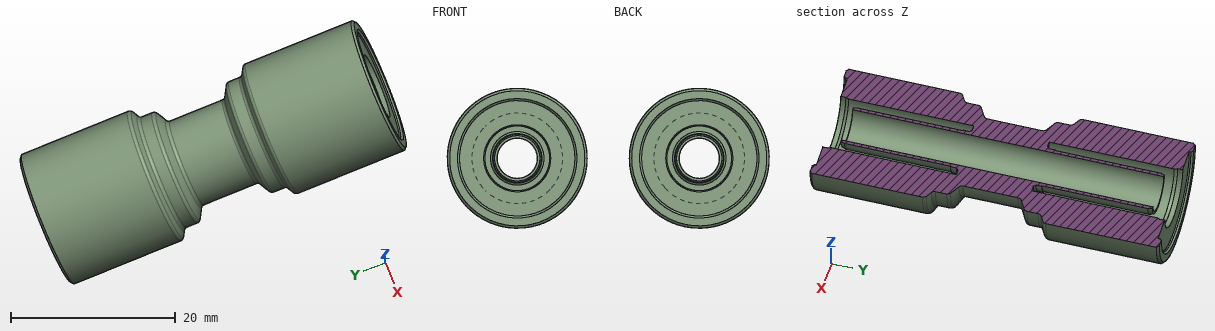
import cadquery as cq
import math


overall_length = 44.0
half_length = overall_length / 2
collar_edge_y = 4.77
sleeve_edge_y = 7.47

sleeve_radius = 17.0 / 2
collar_radius = 14.5 / 2
neck_radius = 11.0 / 2
cone_angle = math.radians(30)
step_fillet = 0.5
rim_chamfer = 0.3

recess_rim_radius = 14.5 / 2
recess_floor_radius = 14.0 / 2
recess_chamfer = recess_rim_radius - recess_floor_radius
recess_depth = 0.45

socket_radius = 8.15 / 2
throat_radius = 7.85 / 2
mouth_depth = 0.65
throat_cone_length = 0.4
stop_y = collar_edge_y

through_radius = 4.85 / 2
support_radius = 5.85 / 2
support_tip_radius = 5.5 / 2
support_tip_length = 0.5
support_tip_depth = 2.4
root_radius = 6.0 / 2
root_base_radius = 6.5 / 2
root_cone_length = 0.25
root_length = 1.0


def cone_run(large_radius, small_radius):
    """Axial length of a step cone between two radii."""
    return (large_radius - small_radius) * math.tan(cone_angle)


def circles_at(radius, y_position):
    """Selector for the circular edges of one radius at one place along the axis."""
    margin = 0.01
    reach = radius + margin
    return cq.selectors.BoxSelector(
        (-reach, y_position - margin, -reach),
        (reach, y_position + margin, reach),
        boundingbox=True,
    )


def revolve_profile(points):
    """Turn a closed (radius, y) outline about the Y axis."""
    return cq.Workplane("XY").polyline(points).close().revolve(360, (0, 0, 0), (0, 1, 0))


def make_body():
    """Solid outside shape, with rounded steps and bevelled rims."""
    steps = [
        (neck_radius, collar_edge_y - cone_run(collar_radius, neck_radius)),
        (collar_radius, collar_edge_y),
        (collar_radius, sleeve_edge_y - cone_run(sleeve_radius, collar_radius)),
        (sleeve_radius, sleeve_edge_y),
    ]
    half_outline = [
        *steps,
        (sleeve_radius, half_length - rim_chamfer),
        (sleeve_radius - rim_chamfer, half_length),
        (0, half_length),
    ]
    mirrored_outline = [(radius, -y_position) for radius, y_position in reversed(half_outline)]
    body = revolve_profile(mirrored_outline + half_outline)
    for radius, y_position in steps:
        for side in (-1, 1):
            body = body.edges(circles_at(radius, side * y_position)).fillet(step_fillet)
    return body


def make_half_cavity():
    """Recessed end face, stepped tube socket and through bore of the +Y half."""
    floor_y = half_length - recess_depth
    throat_cone_y = floor_y - mouth_depth
    throat_y = throat_cone_y - throat_cone_length
    tip_y = half_length - support_tip_depth
    return revolve_profile([
        (0, 0),
        (through_radius, 0),
        (through_radius, tip_y),
        (support_tip_radius, tip_y),
        (support_radius, tip_y - support_tip_length),
        (support_radius, stop_y + root_length),
        (root_radius, stop_y + root_length),
        (root_radius, stop_y + root_cone_length),
        (root_base_radius, stop_y),
        (throat_radius, stop_y),
        (throat_radius, throat_y),
        (socket_radius, throat_cone_y),
        (socket_radius, floor_y),
        (recess_floor_radius, floor_y),
        (recess_floor_radius, half_length - recess_chamfer),
        (recess_rim_radius, half_length),
        (0, half_length),
    ])


half_cavity = make_half_cavity()
result = make_body().cut(half_cavity).cut(half_cavity.mirror("XZ")).clean()